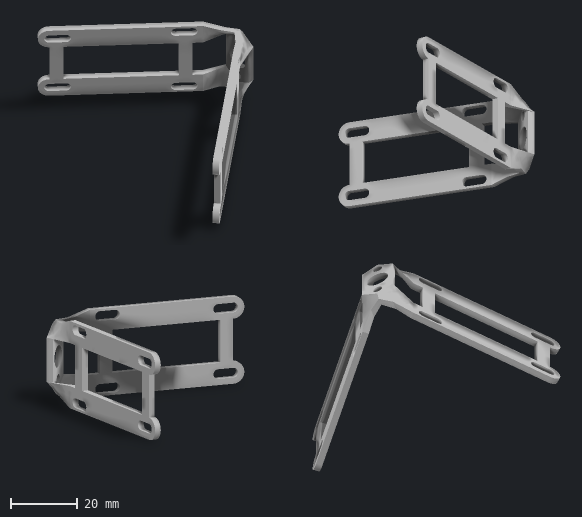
import cadquery as cq
import math

overall_width = 81.02
overall_depth = 48.11
overall_height = 27.2
thickness = 2.0

plate_half_width = 5.0
shoulder_z = 6.9
apex_z = 9.9
centre_hole_diameter = 7.0
screw_hole_diameter = 3.0
screw_hole_z = 7.0

arm_angle = 50.0
arm_length = 50.0
rail_top_z = overall_height / 2
rail_width = 6.9
rail_bottom_z = rail_top_z - rail_width
rail_mid_z = rail_top_z - rail_width / 2
cross_member_width = 4.1
cross_member_starts = (3.6, 42.7)

slot_length = 8.0
slot_width = 3.0
tip_slot_distance = 6.0
root_slot_distance = 44.3
root_slot_z = 11.35

crest_z = 11.5
crest_outer_y = -1.08
crest_inner_y = -3.2
crest_half_width = 3.58

cos_arm = math.cos(math.radians(arm_angle))
sin_arm = math.sin(math.radians(arm_angle))
along = cq.Vector(cos_arm, sin_arm, 0)
inward = cq.Vector(sin_arm, -cos_arm, 0)
tip = cq.Vector(-overall_width / 2, -overall_depth + thickness * cos_arm, 0)
arm_plane = cq.Plane(origin=tip, xDir=along, normal=inward * -1)


def arm_slot(distance, z):
    """Cutter for one slot through the arm."""
    return (
        cq.Workplane(arm_plane)
        .center(distance, z)
        .slot2D(slot_length, slot_width)
        .extrude(-thickness)
    )


def make_rail(side):
    """Flat rail with a round tip; side is +1 for the upper and -1 for the lower rail."""
    radius = rail_width / 2
    middle = side * rail_mid_z
    rail = (
        cq.Workplane(arm_plane)
        .moveTo(arm_length, middle + radius)
        .lineTo(radius, middle + radius)
        .threePointArc((0, middle), (radius, middle - radius))
        .lineTo(arm_length, middle - radius)
        .close()
        .extrude(-thickness)
    )
    rail = rail.cut(arm_slot(tip_slot_distance, middle))
    return rail.cut(arm_slot(root_slot_distance, side * root_slot_z))


def make_cross_member(start):
    """Upright strip between the two rails."""
    return (
        cq.Workplane(arm_plane)
        .center(start + cross_member_width / 2, 0)
        .rect(cross_member_width, 2 * rail_bottom_z)
        .extrude(-thickness)
    )


def smooth_face(points):
    """Smooth face spanning a closed chain of straight edges that need not lie in one plane."""
    edges = [cq.Edge.makeLine(start, end) for start, end in zip(points, points[1:] + points[:1])]
    return cq.Face.makeNSidedSurface(edges, [])


def solid_between(outer_points, inner_points):
    """Solid between two matching smooth faces, closed by ruled faces along their edges."""
    faces = [smooth_face(outer_points), smooth_face(inner_points)]
    for corner in range(len(outer_points)):
        outer_edge = cq.Edge.makeLine(outer_points[corner - 1], outer_points[corner])
        inner_edge = cq.Edge.makeLine(inner_points[corner - 1], inner_points[corner])
        faces.append(cq.Face.makeRuledSurface(outer_edge, inner_edge))
    return cq.Workplane(obj=cq.Solid.makeSolid(cq.Shell.makeShell(faces)).fix())


def point_at_x(start, end, x):
    """Point with the given x on the line from start to end."""
    return start + (end - start) * ((x - start.x) / (end.x - start.x))


def make_web(side):
    """Twisted web from a rail's root to the sloped plate edge, with its half of the crest."""
    root_outer = tip + along * arm_length
    root_inner = root_outer + inward * thickness
    top = cq.Vector(0, 0, side * rail_top_z)
    bottom = cq.Vector(0, 0, side * rail_bottom_z)
    apex_outer = cq.Vector(0, 0, side * apex_z)
    apex_inner = cq.Vector(0, -thickness, side * apex_z)
    shoulder_outer = cq.Vector(-plate_half_width, 0, side * shoulder_z)
    shoulder_inner = cq.Vector(-plate_half_width, -thickness, side * shoulder_z)
    return solid_between(
        [
            root_outer + bottom,
            root_outer + top,
            point_at_x(root_outer + top, apex_outer, -crest_half_width),
            cq.Vector(0, crest_outer_y, side * crest_z),
            apex_outer,
            shoulder_outer,
        ],
        [
            root_inner + bottom,
            root_inner + top,
            point_at_x(root_inner + top, apex_inner, -crest_half_width),
            cq.Vector(0, crest_inner_y, side * crest_z),
            apex_inner,
            shoulder_inner,
        ],
    )


def make_plate():
    """Hexagonal centre plate with its three holes."""
    plate = (
        cq.Workplane("XZ")
        .moveTo(0, apex_z)
        .lineTo(plate_half_width, shoulder_z)
        .lineTo(plate_half_width, -shoulder_z)
        .lineTo(0, -apex_z)
        .lineTo(-plate_half_width, -shoulder_z)
        .lineTo(-plate_half_width, shoulder_z)
        .close()
        .extrude(thickness)
    )
    centre_hole = cq.Workplane("XZ").circle(centre_hole_diameter / 2).extrude(thickness)
    screw_holes = (
        cq.Workplane("XZ")
        .pushPoints([(0, screw_hole_z), (0, -screw_hole_z)])
        .circle(screw_hole_diameter / 2)
        .extrude(thickness)
    )
    return plate.cut(centre_hole).cut(screw_holes)


def make_left_arm():
    """Left arm with its rails, cross members and webs."""
    arm = make_rail(1).union(make_rail(-1))
    for start in cross_member_starts:
        arm = arm.union(make_cross_member(start))
    for side in (1, -1):
        arm = arm.union(make_web(side))
    return arm


left_arm = make_left_arm()
right_arm = left_arm.mirror("YZ")
result = make_plate().union(left_arm).union(right_arm)